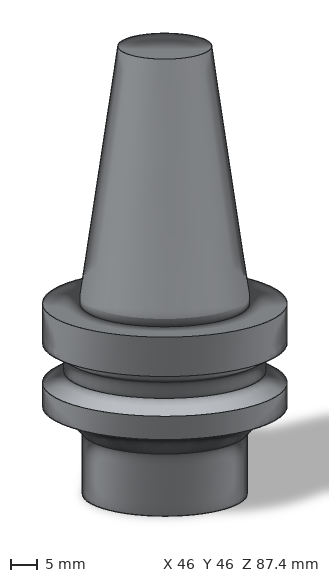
import cadquery as cq

nose_diameter = 31.0
collar_diameter = 40.4
flange_diameter = 46.0
groove_diameter = 38.0
shank_diameter = 31.9
shank_tip_diameter = 17.65

nose_top = 12.15
collar_top = 17.1
lower_flange_top = 21.7
groove_floor_bottom = 24.0
groove_floor_top = 27.2
upper_flange_bottom = 29.45
flange_top = 37.15
taper_bottom = 38.6
total_height = 87.4

outline = [
    (nose_diameter, 0),
    (nose_diameter, nose_top),
    (collar_diameter, collar_top),
    (flange_diameter, collar_top),
    (flange_diameter, lower_flange_top),
    (groove_diameter, groove_floor_bottom),
    (groove_diameter, groove_floor_top),
    (flange_diameter, upper_flange_bottom),
    (flange_diameter, flange_top),
    (shank_diameter, flange_top),
    (shank_diameter, taper_bottom),
    (shank_tip_diameter, total_height),
]

half_section = cq.Workplane("XZ").moveTo(0, 0)
for diameter, height in outline:
    half_section = half_section.lineTo(diameter / 2, height)
half_section = half_section.lineTo(0, total_height).close()

result = half_section.revolve(360, (0, 0, 0), (0, 1, 0))